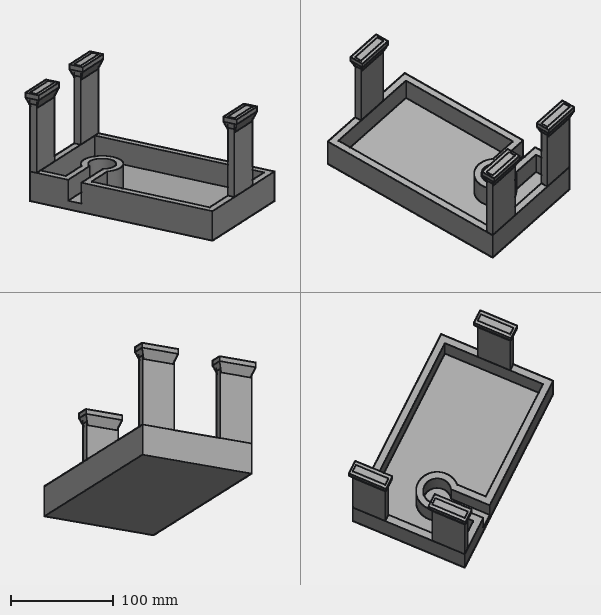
import cadquery as cq

tray_length = 205.5
tray_width = 120.1
tray_height = 31.0
wall = 7.5
pocket_depth = 23.9

well_radius = 13.6
channel_width = 15.0
keyhole_wall = 7.0
keyhole_depth = 22.0
keyhole_x = -tray_length / 2 + 50.5
keyhole_y = -tray_width / 2 + 52.8

total_height = 114.0
post_thickness = wall
post_width = 35.0
post_height = total_height - tray_height
cap_thickness = 15.0
cap_width = 39.8
cap_rim_height = 5.1
cap_flare_height = 10.0

post_x = (tray_length - post_thickness) / 2
post_y = (tray_width - post_width) / 2
post_places = [(-post_x, -post_y), (-post_x, post_y), (post_x, 0)]


def block(length, width, height, x, y, bottom):
    """Box centred on (x, y) and standing on the level `bottom`."""
    return cq.Workplane("XY").box(length, width, height, centered=(True, True, False)).translate((x, y, bottom))


def make_keyhole(radius, width, bottom):
    """Round well and channel to the front face, from `bottom` up to the rim."""
    height = tray_height - bottom
    front = -tray_width / 2
    channel_length = keyhole_y - front
    well = cq.Workplane("XY").circle(radius).extrude(height).translate((keyhole_x, keyhole_y, bottom))
    channel = block(width, channel_length, height, keyhole_x, front + channel_length / 2, bottom)
    return well.union(channel)


def make_tray():
    """Tray with a rectangular pocket and a walled keyhole recess."""
    floor = tray_height - pocket_depth
    keyhole_floor = tray_height - keyhole_depth
    shell = block(tray_length, tray_width, tray_height, 0, 0, 0)
    pocket = block(tray_length - 2 * wall, tray_width - 2 * wall, pocket_depth, 0, 0, floor)
    surround = make_keyhole(well_radius + keyhole_wall, channel_width + 2 * keyhole_wall, floor)
    recess = make_keyhole(well_radius, channel_width, keyhole_floor)
    return shell.cut(pocket).union(surround).cut(recess)


def make_post(x, y):
    """Flat upright post from the tray rim to the top of its cap."""
    return block(post_thickness, post_width, post_height, x, y, tray_height)


def make_cap(x, y):
    """Rim and equal-slope flare around the post, with a through hole that fits the post."""
    rim_bottom = total_height - cap_rim_height
    inset = cap_thickness - post_thickness
    rim = block(cap_thickness, cap_width, cap_rim_height, x, y, rim_bottom)
    flare = (
        cq.Workplane("XY", origin=(x, y, rim_bottom - cap_flare_height))
        .rect(post_thickness, cap_width - inset)
        .workplane(offset=cap_flare_height)
        .rect(cap_thickness, cap_width)
        .loft(ruled=True)
    )
    return rim.union(flare).cut(make_post(x, y))


tray = make_tray()
posts = [make_post(x, y).val() for x, y in post_places]
caps = [make_cap(x, y).val() for x, y in post_places]

result = cq.Compound.makeCompound([tray.val(), *posts, *caps])